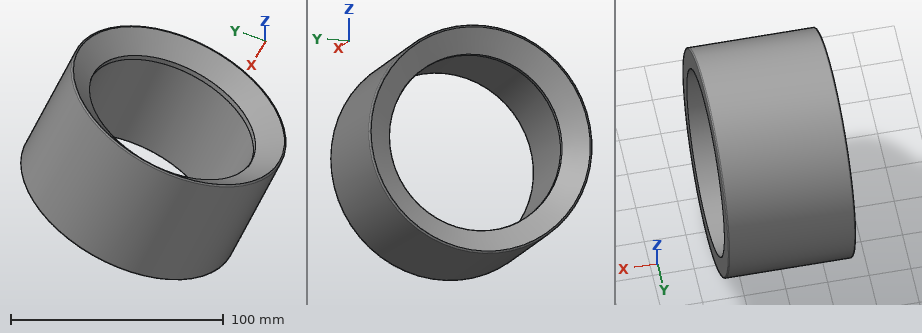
import cadquery as cq

outer_diameter = 110.0
length = 61.0
bore_diameter = 90.0
throat_diameter = 85.0

edge_fillet = 0.5
rim_land = 0.4
cone_depth = 7.7
lip_length = 2.5

outer_radius = outer_diameter / 2
bore_radius = bore_diameter / 2
throat_radius = throat_diameter / 2
mouth_radius = outer_radius - edge_fillet - rim_land
front_x = -length / 2
back_x = length / 2
throat_x = front_x + cone_depth
bore_x = throat_x + lip_length


def ring_body():
    """Solid cylinder with rounded rims."""
    cylinder = cq.Workplane("YZ", origin=(front_x, 0, 0)).circle(outer_radius).extrude(length)
    return cylinder.edges().fillet(edge_fillet)


def passage():
    """Conical mouth, narrow throat and wider bore, as one revolved cutter."""
    profile = (
        cq.Workplane("XY")
        .moveTo(front_x, 0)
        .lineTo(front_x, mouth_radius)
        .lineTo(throat_x, throat_radius)
        .lineTo(bore_x, throat_radius)
        .lineTo(bore_x, bore_radius)
        .lineTo(back_x, bore_radius)
        .lineTo(back_x, 0)
        .close()
    )
    return profile.revolve(360, (0, 0, 0), (1, 0, 0))


result = ring_body().cut(passage())